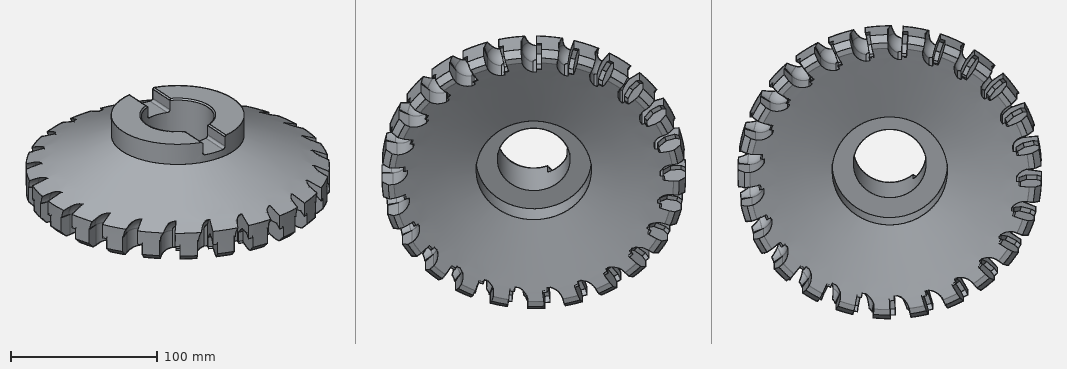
import math

import cadquery as cq

outer_radius = 103.9
total_height = 60.9
rim_height = 21.8
rim_chamfer = 4.4
hub_radius = 45.5
hub_base_z = 45.5
underside_outer_radius = 95.5

bore_radius = 25.0
bore_chamfer = 1.0
bore_shoulder_z = 30.0
relief_radius = 39.5
relief_edge_z = 15.5

slot_width = 18.3
slot_depth = 10.0
slot_floor_radius = 1.9
slot_edge_chamfer = 1.0

tooth_count = 25
tooth_face_offset = 2.3
gullet_radius = 11.0
gullet_centre_radius = 97.0
gullet_centre_z = 15.5
gullet_axis_inset = 1.0
gullet_floor_width = 2.5
gullet_flare_angle = math.radians(6)
gullet_floor_radius = gullet_centre_radius - math.sqrt(
    gullet_radius**2 - (gullet_floor_width + gullet_axis_inset) ** 2
)

seat_depth = 3.3
seat_width = 17.2
seat_top_z = 15.0
seat_centre_radius = 97.0
seat_centre_z = seat_top_z - seat_width / 2

overrun = 10.4


def make_body():
    """Conical cutter body with a hub, a hollow underside and a stepped, chamfered bore."""
    profile = [
        (bore_radius, bore_shoulder_z),
        (relief_radius, bore_shoulder_z),
        (relief_radius, relief_edge_z),
        (underside_outer_radius, 0),
        (outer_radius - rim_chamfer, 0),
        (outer_radius, rim_chamfer),
        (outer_radius, rim_height),
        (hub_radius, hub_base_z),
        (hub_radius, total_height),
        (bore_radius + bore_chamfer, total_height),
        (bore_radius, total_height - bore_chamfer),
    ]
    return cq.Workplane("XZ").polyline(profile).close().revolve(360, (0, 0), (0, 1))


def make_driving_slot():
    """Slot along X with rounded floor corners and chamfered top edges."""
    half_width = slot_width / 2
    floor_z = total_height - slot_depth
    slot = (
        cq.Workplane("XY", origin=(0, 0, floor_z))
        .box(2 * hub_radius + overrun, slot_width, slot_depth, centered=(True, True, False))
        .edges("|X and <Z")
        .fillet(slot_floor_radius)
    )
    edge_bevel = (
        cq.Workplane("YZ")
        .polyline(
            [
                (-half_width - slot_edge_chamfer, total_height),
                (half_width + slot_edge_chamfer, total_height),
                (half_width, total_height - slot_edge_chamfer),
                (-half_width, total_height - slot_edge_chamfer),
            ]
        )
        .close()
        .extrude(hub_radius + overrun, both=True)
    )
    return slot.union(edge_bevel)


def make_gullet():
    """Ball-ended flute along +X, between the tooth face on Y = 0 and a flared wall on the -Y side."""
    axis_top = (gullet_centre_radius, gullet_axis_inset, gullet_centre_z)
    mouth_x = outer_radius + overrun
    stem_length = gullet_centre_z + overrun
    plunge = cq.Workplane("XY", origin=axis_top).circle(gullet_radius).extrude(-stem_length)
    ball = cq.Workplane("XY", origin=axis_top).sphere(gullet_radius)
    roof = (
        cq.Workplane("YZ", origin=axis_top)
        .circle(gullet_radius)
        .extrude(mouth_x - gullet_centre_radius)
    )
    tangent_x = gullet_centre_radius - gullet_radius * math.sin(gullet_flare_angle)
    tangent_y = gullet_axis_inset - gullet_radius * math.cos(gullet_flare_angle)
    mouth_y = tangent_y - (mouth_x - tangent_x) * math.tan(gullet_flare_angle)
    channel = (
        cq.Workplane("XY", origin=(0, 0, gullet_centre_z))
        .polyline([(tangent_x, 0), (tangent_x, tangent_y), (mouth_x, mouth_y), (mouth_x, 0)])
        .close()
        .extrude(-stem_length)
    )
    limits = cq.Workplane("XY", origin=(gullet_floor_radius, -outer_radius, -overrun)).box(
        outer_radius, outer_radius, total_height, centered=(False, False, False)
    )
    return plunge.union(ball).union(roof).union(channel).intersect(limits)


def make_insert_seat():
    """Octagonal pocket sunk from the tooth face on Y = 0 toward +Y."""
    corner_diameter = seat_width / math.cos(math.pi / 8)
    return (
        cq.Workplane("XZ")
        .polygon(8, corner_diameter)
        .extrude(-seat_depth)
        .rotate((0, 0, 0), (0, 1, 0), 180 / 8)
        .translate((seat_centre_radius, 0, seat_centre_z))
    )


tooth_space = make_gullet().union(make_insert_seat()).translate((0, tooth_face_offset, 0))

result = make_body().cut(make_driving_slot())
for tooth in range(tooth_count):
    angle = 180 + tooth * 360 / tooth_count
    result = result.cut(tooth_space.rotate((0, 0, 0), (0, 0, 1), angle))